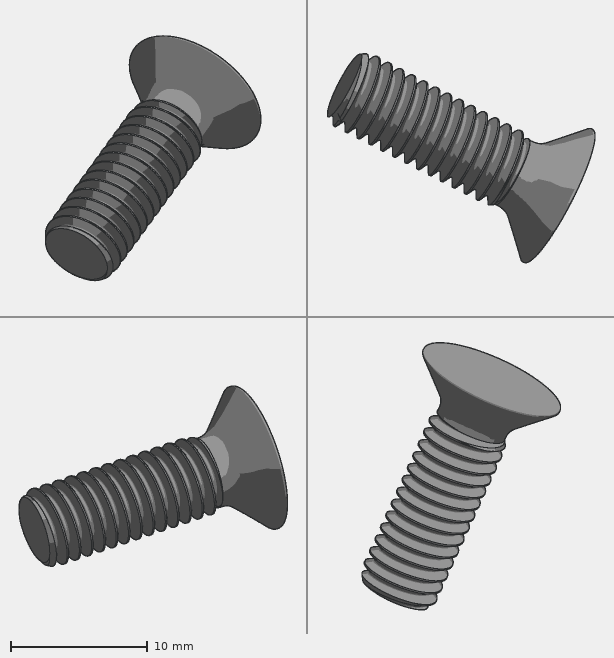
import cadquery as cq
import math


length = 18.0
head_radius = 11.0 / 2
thread_radius = 6.0 / 2
pitch = 1.0

rim_height = 0.18
rim_edge_fillet = 0.07
neck_radius = 2.68
neck_fillet = 1.55
neck_end_depth = 3.92
cone_angle = math.radians(45)

flank_angle = math.radians(30)
flank_slope = math.tan(flank_angle)
thread_height = 0.6134 * pitch
crest_width = pitch / 8
root_fillet = 0.1443 * pitch
groove_overcut = 0.09

extra_turns = 1
taper_slope = math.tan(math.radians(30))
tip_radius = 2.6
crest_above_tip = 0.27
seam_turn = 120

hollow_radius = 2.47
hollow_depth = 0.07


def make_head():
    """Rim, 45 degree cone, concave fillet and neck, revolved as one profile."""
    fillet_top_radius = neck_radius + neck_fillet * (1 - math.cos(cone_angle))
    fillet_top_depth = rim_height + (head_radius - fillet_top_radius) / math.tan(cone_angle)
    fillet_end_depth = fillet_top_depth + neck_fillet * math.sin(cone_angle)
    half_angle = cone_angle / 2
    fillet_middle = (
        neck_radius + neck_fillet * (1 - math.cos(half_angle)),
        -fillet_end_depth + neck_fillet * math.sin(half_angle),
    )
    head = (
        cq.Workplane("XZ")
        .lineTo(head_radius, 0)
        .lineTo(head_radius, -rim_height)
        .lineTo(fillet_top_radius, -fillet_top_depth)
        .threePointArc(fillet_middle, (neck_radius, -fillet_end_depth))
        .lineTo(neck_radius, -neck_end_depth)
        .lineTo(0, -neck_end_depth)
        .close()
        .revolve(360, (0, 0, 0), (0, 1, 0))
    )
    rim_edges = cq.selectors.RadiusNthSelector(-1)
    return head.edges(rim_edges).fillet(rim_edge_fillet)


def make_shank_blank():
    """Unthreaded shank, tapered towards the neck and the tip, with a hollowed tip face.

    It is turned so that its seam stays clear of the start of the thread groove.
    """
    runout_length = (thread_radius - neck_radius) / taper_slope
    tip_taper_length = (thread_radius - tip_radius) / taper_slope
    return (
        cq.Workplane("XZ")
        .moveTo(0, -neck_end_depth)
        .lineTo(neck_radius, -neck_end_depth)
        .lineTo(thread_radius, -neck_end_depth - runout_length)
        .lineTo(thread_radius, tip_taper_length - length)
        .lineTo(tip_radius, -length)
        .lineTo(hollow_radius, -length)
        .lineTo(0, hollow_depth - length)
        .close()
        .revolve(360, (0, 0, 0), (0, 1, 0))
        .rotate((0, 0, 0), (0, 0, 1), seam_turn)
    )


def make_thread_groove():
    """Right-hand groove with a rounded root that runs past both ends of the shank."""
    start_z = crest_above_tip - length - pitch / 2 - extra_turns * pitch
    turns = math.ceil((length - neck_end_depth) / pitch) + 2 * extra_turns
    core_radius = thread_radius - thread_height
    root_half = root_fillet * math.cos(flank_angle)
    root_edge_radius = core_radius + root_fillet * (1 - math.sin(flank_angle))
    mouth_radius = thread_radius + groove_overcut
    mouth_half = (pitch - crest_width) / 2 + groove_overcut * flank_slope
    helix = cq.Wire.makeHelix(pitch, turns * pitch, core_radius, center=cq.Vector(0, 0, start_z))
    return (
        cq.Workplane("XZ")
        .moveTo(mouth_radius, start_z - mouth_half)
        .lineTo(root_edge_radius, start_z - root_half)
        .threePointArc((core_radius, start_z), (root_edge_radius, start_z + root_half))
        .lineTo(mouth_radius, start_z + mouth_half)
        .close()
        .sweep(cq.Workplane(obj=helix), isFrenet=True)
    )


shank = make_shank_blank().cut(make_thread_groove(), clean=False)
screw = make_head().union(shank, clean=False)
result = screw.rotate((0, 0, 0), (1, 0, 0), -90)